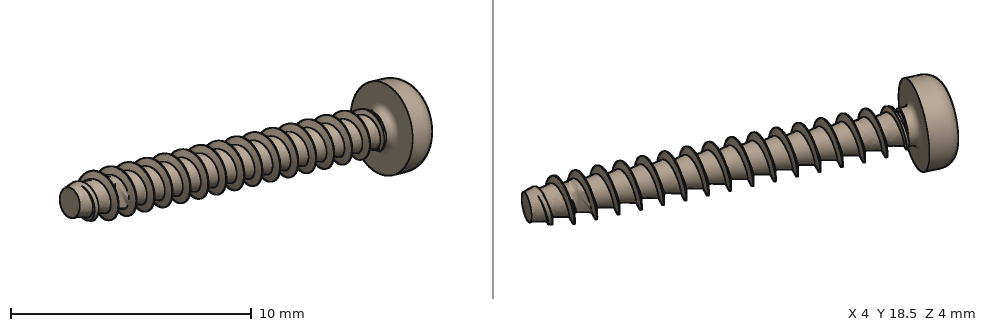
import cadquery as cq
import math


head_radius = 2.0
head_height = 1.5
head_edge_radius = 0.8

shank_length = 17.0
neck_radius = 0.825
neck_end = -0.52
neck_fillet = 0.27
core_radius = 0.64

thread_radius = 1.1
pitch = 0.98
foot_half_width = 0.14
crest_half_width = 0.02
flare_radius = 0.775
flare_length = 0.68
flare_end_radius = 0.63
crest_position = -14.315
buried_depth = 0.075
run_in_radius = 0.93
run_in_end = -1.55
run_out_start = -15.55
run_out_radius = 0.65
envelope_clearance = 0.1


def revolve_about_axis(profile):
    """Revolve a closed (radius, Y) profile about the screw axis."""
    return profile.close().revolve(360, (0, 0, 0), (0, 1, 0))


def make_head():
    profile = (
        cq.Workplane("XY")
        .lineTo(head_radius, 0)
        .lineTo(head_radius, head_height - head_edge_radius)
        .radiusArc((head_radius - head_edge_radius, head_height), -head_edge_radius)
        .lineTo(0, head_height)
    )
    return revolve_about_axis(profile)


def make_shank():
    """Filleted neck under the head, followed by the slim core."""
    profile = (
        cq.Workplane("XY")
        .lineTo(neck_radius + neck_fillet, 0)
        .radiusArc((neck_radius, -neck_fillet), -neck_fillet)
        .lineTo(neck_radius, neck_end)
        .lineTo(core_radius, neck_end)
        .lineTo(core_radius, -shank_length)
        .lineTo(0, -shank_length)
    )
    return revolve_about_axis(profile)


def make_thread_envelope():
    """Body of revolution that fades the crest out at the neck and at the tip."""
    envelope_radius = thread_radius + envelope_clearance
    run_in_slope = (thread_radius - run_in_radius) / (neck_end - run_in_end)
    run_out_slope = (thread_radius - run_out_radius) / (run_out_start + shank_length)
    profile = (
        cq.Workplane("XY")
        .moveTo(0, neck_end)
        .lineTo(run_in_radius, neck_end)
        .lineTo(envelope_radius, run_in_end - envelope_clearance / run_in_slope)
        .lineTo(envelope_radius, run_out_start + envelope_clearance / run_out_slope)
        .lineTo(run_out_radius, -shank_length)
        .lineTo(0, -shank_length)
    )
    return revolve_about_axis(profile)


def make_thread():
    """Right-handed helical tooth with a root that flares on its tip side."""
    turns_below = math.ceil((crest_position + shank_length) / pitch) + 1
    start = crest_position - turns_below * pitch
    length = pitch * math.ceil(-start / pitch)
    buried_radius = core_radius - buried_depth
    flare_end = -foot_half_width - flare_length
    tooth = (
        cq.Workplane("XZ")
        .moveTo(buried_radius, foot_half_width)
        .lineTo(flare_end_radius, foot_half_width)
        .lineTo(thread_radius, crest_half_width)
        .lineTo(thread_radius, -crest_half_width)
        .lineTo(flare_radius, -foot_half_width)
        .lineTo(flare_end_radius, flare_end)
        .lineTo(buried_radius, flare_end)
        .close()
    )
    helix = cq.Wire.makeHelix(pitch, length, thread_radius)
    thread = tooth.sweep(cq.Workplane(obj=helix), isFrenet=True)
    thread = thread.rotate((0, 0, 0), (1, 0, 0), -90).translate((0, start, 0))
    return thread.intersect(make_thread_envelope())


result = make_head().union(make_shank()).union(make_thread())